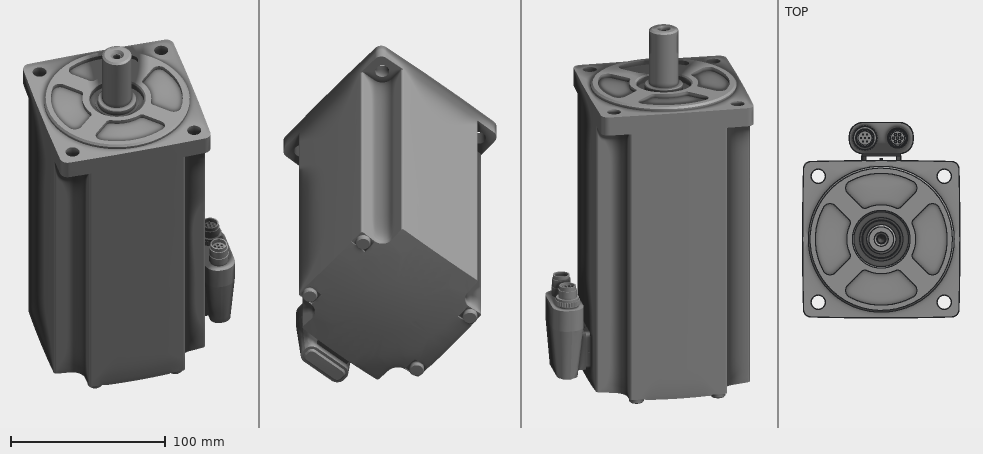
import cadquery as cq
import math


total_height = 239.7
pilot_top = 202.5
flange_top = 199.7
flange_bottom = 187.2

housing_width = 102.0
side_sag = 0.7
corner_radius = 5.0
half_width = housing_width / 2
corner_half_width = half_width - side_sag
rear_dome_radius = 431.5

channel_wall = 32.1
channel_radius = 8.0
channel_lip_radius = 1.5

mount_hole_offset = 40.8
mount_hole_diameter = 9.0
pilot_radius = 47.2
pilot_chamfer = 1.2

pocket_outer_radius = 42.7
pocket_inner_radius = 22.3
pocket_rib_width = 11.5
pocket_depth = 2.9
pocket_outer_fillet = 4.8
pocket_inner_fillet = 2.9

recess_radius = 17.7
recess_chamfer = 1.0
recess_depth = 4.8
seal_base_diameter = 28.0
seal_base_height = 0.5
seal_diameter = 25.0
seal_height = 4.3
seal_chamfer = 0.5

shaft_diameter = 19.0
shaft_end_diameter = 16.0
shaft_chamfer_height = 1.0
center_mouth_diameter = 9.0
center_throat_diameter = 6.0
center_cone_depth = 2.0
center_drill_diameter = 5.0
center_drill_depth = 9.5

foot_x = 45.0
foot_y = 26.8
foot_diameter = 9.5
foot_chamfer = 0.7
foot_bottom = 0.7
foot_embed = 4.8
foot_slot_width = 10.0
foot_slot_top = 4.0

total_depth = 126.5
block_depth = 20.4
block_width = 41.5
block_corner_radius = 9.0
block_top = 57.0
block_taper_top = 43.0
block_bottom = 9.0
block_taper_inset = 3.4
block_taper_shift = 0.5
block_pad_inset = 2.0
block_pad_height = 1.5
block_pad_chamfer = 1.0
block_y = total_depth - half_width - block_depth / 2

neck_size = 25.5
neck_center_z = 25.5
neck_plate_y = 53.7
neck_corner_radius = 2.9
neck_notch_size = 1.5
neck_notch_depth = 1.2
neck_inset = 0.2

plug_offset = 10.5
plug_collar_diameter = 14.9
plug_collar_bottom = 58.0
plug_collar_top = 63.3
plug_knurl_diameter = 16.0
plug_knurl_bottom = 58.7
plug_knurl_top = 61.5
plug_knurl_teeth = 28
plug_body_diameter = 12.0
plug_body_top = 68.5
plug_tip_diameter = 10.8
plug_top = 71.2
plug_bore_diameter = 9.0
plug_bore_depth = 2.9
contact_count = 6
contact_circle_radius = 2.6
pin_diameter = 0.8
pin_height = 2.0
socket_collar_diameter = 13.0
socket_hole_diameter = 1.65
socket_hole_depth = 2.5


def cylinder(diameter, bottom, top, x=0.0, y=0.0):
    return cq.Workplane("XY", origin=(x, y, bottom)).circle(diameter / 2).extrude(top - bottom)


def make_housing():
    """Bowed square prism with a domed rear end."""
    corner = corner_half_width
    prism = (
        cq.Workplane("XY")
        .moveTo(-corner, -corner)
        .threePointArc((0, -half_width), (corner, -corner))
        .threePointArc((half_width, 0), (corner, corner))
        .threePointArc((0, half_width), (-corner, corner))
        .threePointArc((-half_width, 0), (-corner, -corner))
        .close()
        .extrude(flange_top)
        .edges("|Z")
        .fillet(corner_radius)
    )
    dome = cq.Workplane("XY", origin=(0, 0, rear_dome_radius)).sphere(rear_dome_radius)
    return prism.intersect(dome)


def make_channels():
    """Cutters for the four corner channels, open at the rear."""
    outside = housing_width
    lip = channel_wall - channel_lip_radius
    lip_end = half_width - side_sag * (lip / corner_half_width) ** 2
    lip_start = lip_end - channel_lip_radius
    lip_mid = channel_lip_radius * math.sqrt(0.5)
    bend = channel_wall + channel_radius
    bend_mid = bend - channel_radius * math.sqrt(0.5)
    cutter = (
        cq.Workplane("XY")
        .moveTo(outside, outside)
        .lineTo(lip, outside)
        .lineTo(lip, lip_end)
        .threePointArc((lip + lip_mid, lip_start + lip_mid), (channel_wall, lip_start))
        .lineTo(channel_wall, bend)
        .threePointArc((bend_mid, bend_mid), (bend, channel_wall))
        .lineTo(lip_start, channel_wall)
        .threePointArc((lip_start + lip_mid, lip + lip_mid), (lip_end, lip))
        .lineTo(outside, lip)
        .close()
        .extrude(flange_bottom)
    )
    channels = cutter
    for turn in range(1, 4):
        channels = channels.union(cutter.rotate((0, 0, 0), (0, 0, 1), 90 * turn))
    return channels


def make_mount_holes():
    return (
        cq.Workplane("XY", origin=(0, 0, flange_bottom))
        .rect(2 * mount_hole_offset, 2 * mount_hole_offset, forConstruction=True)
        .vertices()
        .circle(mount_hole_diameter / 2)
        .extrude(flange_top - flange_bottom)
    )


def make_pilot():
    disc = cylinder(2 * pilot_radius, flange_top, pilot_top)
    return disc.faces(">Z").edges().chamfer(pilot_chamfer)


def make_pockets():
    """Ring divided into four pockets by diagonal ribs."""
    floor = pilot_top - pocket_depth
    pockets = cylinder(2 * pocket_outer_radius, floor, pilot_top)
    pockets = pockets.cut(cylinder(2 * pocket_inner_radius, floor, pilot_top))
    for angle in (45, 135):
        rib = (
            cq.Workplane("XY", origin=(0, 0, floor))
            .rect(2 * half_width, pocket_rib_width)
            .extrude(pocket_depth)
            .rotate((0, 0, 0), (0, 0, 1), angle)
        )
        pockets = pockets.cut(rib)
    reach = (pocket_outer_radius + pocket_inner_radius) / 2 * math.sqrt(0.5)
    inner = cq.selectors.BoxSelector((-reach, -reach, 0), (reach, reach, total_height))
    vertical = cq.selectors.ParallelDirSelector(cq.Vector(0, 0, 1))
    pockets = pockets.edges(vertical - inner).fillet(pocket_outer_fillet)
    return pockets.edges(vertical & inner).fillet(pocket_inner_fillet)


def make_seal_recess():
    """Chamfered round recess that leaves the stepped seal standing around the shaft."""
    floor = pilot_top - recess_depth
    mouth_radius = recess_radius + recess_chamfer
    recess = (
        cq.Workplane("XZ")
        .moveTo(0, floor)
        .lineTo(recess_radius, floor)
        .lineTo(recess_radius, pilot_top - recess_chamfer)
        .lineTo(mouth_radius, pilot_top)
        .lineTo(0, pilot_top)
        .close()
        .revolve(360, (0, 0, 0), (0, 1, 0))
    )
    seal_base = cylinder(seal_base_diameter, floor, floor + seal_base_height)
    seal = cylinder(seal_diameter, floor, floor + seal_height).faces(">Z").edges().chamfer(seal_chamfer)
    return recess.cut(seal_base).cut(seal)


def make_shaft():
    """Chamfered shaft with a countersunk center drilling."""
    radius = shaft_diameter / 2
    end_radius = shaft_end_diameter / 2
    throat = center_throat_diameter / 2
    drill = center_drill_diameter / 2
    cone_bottom = total_height - center_cone_depth
    drill_bottom = total_height - center_drill_depth
    return (
        cq.Workplane("XZ")
        .moveTo(0, flange_bottom)
        .lineTo(radius, flange_bottom)
        .lineTo(radius, total_height - shaft_chamfer_height)
        .lineTo(end_radius, total_height)
        .lineTo(center_mouth_diameter / 2, total_height)
        .lineTo(throat, cone_bottom)
        .lineTo(drill, cone_bottom)
        .lineTo(drill, drill_bottom)
        .lineTo(0, drill_bottom - drill)
        .close()
        .revolve(360, (0, 0, 0), (0, 1, 0))
    )


def at_foot_positions(solid):
    """Copy a solid built around the axis to all four feet."""
    copies = cq.Workplane("XY")
    for x in (-foot_x, foot_x):
        for y in (-foot_y, foot_y):
            copies = copies.add(solid.translate((x, y, 0)))
    return copies.combine()


def make_foot_slots():
    """Cutters that open the housing's side faces around the feet."""
    length = 2 * (half_width - foot_x)
    slot = cq.Workplane("XY").rect(length, foot_slot_width).extrude(foot_slot_top)
    return at_foot_positions(slot)


def make_feet():
    foot = cylinder(foot_diameter, foot_bottom, foot_bottom + foot_embed)
    return at_foot_positions(foot.faces("<Z").edges().chamfer(foot_chamfer))


def block_section(inset):
    """Outline of the connector block, drawn in from the full size by the inset."""
    outline = cq.Sketch().rect(block_width - 2 * inset, block_depth - 2 * inset)
    return outline.vertices().fillet(block_corner_radius - inset)


def make_connector_block():
    """Rounded block that tapers toward its lower end and stands on a small pad."""
    taper_y = block_y + block_taper_shift
    upper = (
        cq.Workplane("XY", origin=(0, block_y, block_taper_top))
        .placeSketch(block_section(0))
        .extrude(block_top - block_taper_top)
    )
    full_section = block_section(0).moved(cq.Location(cq.Vector(0, block_y, block_taper_top)))
    small_section = block_section(block_taper_inset).moved(cq.Location(cq.Vector(0, taper_y, block_bottom)))
    lower = cq.Workplane("XY").placeSketch(small_section, full_section).loft()
    pad = (
        cq.Workplane("XY", origin=(0, taper_y, block_bottom - block_pad_height))
        .placeSketch(block_section(block_taper_inset + block_pad_inset))
        .extrude(block_pad_height)
        .faces("<Z")
        .edges()
        .chamfer(block_pad_chamfer)
    )
    return upper.union(lower).union(pad)


def make_neck():
    """Square neck on a rounded plate with a small notch in the middle of each side."""
    inside_y = half_width - 2 * side_sag
    plate = (
        cq.Workplane("XY")
        .box(neck_size, neck_plate_y - inside_y, neck_size)
        .edges("|Y")
        .fillet(neck_corner_radius)
        .translate((0, (neck_plate_y + inside_y) / 2, neck_center_z))
    )
    for turn in range(4):
        notch = (
            cq.Workplane("XY")
            .box(neck_size, neck_notch_size, neck_notch_size)
            .translate((neck_size - neck_notch_depth, half_width + neck_notch_size / 2, 0))
            .rotate((0, 0, 0), (0, 1, 0), 90 * turn)
            .translate((0, 0, neck_center_z))
        )
        plate = plate.cut(notch)
    neck_width = neck_size - 2 * neck_inset
    neck = (
        cq.Workplane("XY")
        .box(neck_width, block_y - neck_plate_y, neck_width)
        .translate((0, (block_y + neck_plate_y) / 2, neck_center_z))
    )
    return plate.union(neck)


def contact_ring(diameter, bottom, top, x):
    """Round contacts on a circle, with one more in its center."""
    contacts = cylinder(diameter, bottom, top, x, block_y)
    for index in range(contact_count):
        angle = 2 * math.pi * index / contact_count
        contact_x = x + contact_circle_radius * math.cos(angle)
        contact_y = block_y + contact_circle_radius * math.sin(angle)
        contacts = contacts.union(cylinder(diameter, bottom, top, contact_x, contact_y))
    return contacts


def make_plug_shell(x):
    """Stepped round plug with an open bore at its end."""
    shell = cylinder(plug_body_diameter, block_top, plug_body_top, x, block_y)
    shell = shell.union(cylinder(plug_tip_diameter, plug_body_top, plug_top, x, block_y))
    return shell.cut(cylinder(plug_bore_diameter, plug_top - plug_bore_depth, plug_top, x, block_y))


def make_knurled_collar(x):
    """Collar around a plug with a band of pointed knurling teeth."""
    peak_radius = plug_knurl_diameter / 2
    valley_radius = plug_collar_diameter / 2
    outline = []
    for index in range(2 * plug_knurl_teeth):
        radius = valley_radius if index % 2 else peak_radius
        angle = math.pi * index / plug_knurl_teeth
        outline.append((radius * math.cos(angle), radius * math.sin(angle)))
    band = (
        cq.Workplane("XY", origin=(0, 0, plug_knurl_bottom))
        .polyline(outline)
        .close()
        .extrude(plug_knurl_top - plug_knurl_bottom)
    )
    collar = cylinder(plug_collar_diameter, plug_collar_bottom, plug_collar_top)
    return collar.union(band).translate((x, block_y, 0))


def make_pin_plug():
    x = -plug_offset
    floor = plug_top - plug_bore_depth
    pins = contact_ring(pin_diameter, floor, floor + pin_height, x)
    return make_plug_shell(x).union(make_knurled_collar(x)).union(pins)


def make_socket_plug():
    x = plug_offset
    floor = plug_top - plug_bore_depth
    collar = cylinder(socket_collar_diameter, plug_collar_bottom, plug_collar_top, x, block_y)
    shell = make_plug_shell(x).union(collar)
    return shell.cut(contact_ring(socket_hole_diameter, floor - socket_hole_depth, floor, x))


housing = make_housing().cut(make_channels()).cut(make_mount_holes())
housing = housing.cut(make_foot_slots()).union(make_feet())
pilot = make_pilot().cut(make_pockets())
seal_recess = make_seal_recess()
result = housing.union(pilot).cut(seal_recess).union(make_shaft())
result = result.union(make_neck()).union(make_connector_block())
result = result.union(make_pin_plug()).union(make_socket_plug())